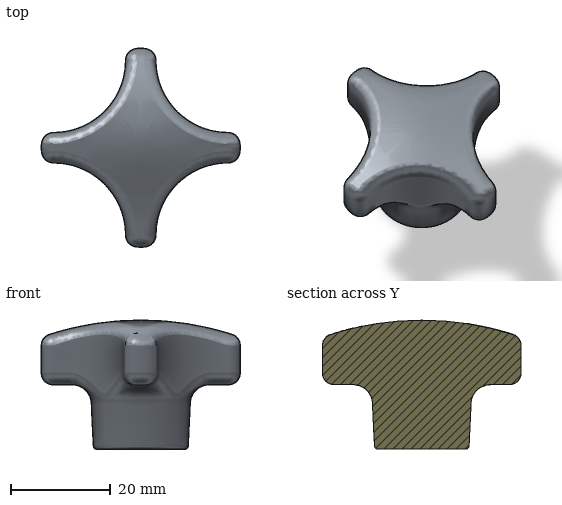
import cadquery as cq
import math

span = 39.97
height = 26.0

arm_width = 6.15
arm_underside = 12.95
corner_radius = 2.48
tip_radius = 5.35
edge_radius = 2.45
dome_radius = 59.55

hub_foot_radius = 9.5
hub_neck_radius = 9.95
flare_radius = 3.75
foot_round = 0.8

half_span = span / 2
half_arm = arm_width / 2

tip_centre_x = half_span - tip_radius
corner_y = half_arm - corner_radius
corner_x = tip_centre_x + math.sqrt((tip_radius - corner_radius) ** 2 - corner_y**2)
scoop_radius = corner_x - half_arm
blank_radius = 1.2 * half_span
neck_height = arm_underside - flare_radius


def quarter_turn(x, y, turns):
    """Rotate a point about Z by a number of quarter turns."""
    for _ in range(turns):
        x, y = -y, x
    return x, y


def star_prism():
    """Cross outline: four bowed arm tips with rounded corners, joined by concave arcs."""
    tip_angle = math.asin(corner_y / (tip_radius - corner_radius))
    tip_end_x = tip_centre_x + tip_radius * math.cos(tip_angle)
    tip_end_y = tip_radius * math.sin(tip_angle)
    middle_angle = (tip_angle + math.pi / 2) / 2
    corner_middle_x = corner_x + corner_radius * math.cos(middle_angle)
    corner_middle_y = corner_y + corner_radius * math.sin(middle_angle)
    diagonal = corner_x - scoop_radius / math.sqrt(2)

    outline = cq.Workplane("XY").moveTo(corner_x, -half_arm)
    for turns in range(4):
        outline = (
            outline
            .threePointArc(
                quarter_turn(corner_middle_x, -corner_middle_y, turns),
                quarter_turn(tip_end_x, -tip_end_y, turns),
            )
            .threePointArc(
                quarter_turn(half_span, 0, turns),
                quarter_turn(tip_end_x, tip_end_y, turns),
            )
            .threePointArc(
                quarter_turn(corner_middle_x, corner_middle_y, turns),
                quarter_turn(corner_x, half_arm, turns),
            )
            .threePointArc(
                quarter_turn(diagonal, diagonal, turns),
                quarter_turn(half_arm, corner_x, turns),
            )
        )
    return outline.close().extrude(height)


def turned_blank():
    """Domed disc on a tapered hub, with a concave flare between them."""
    def dome_height(radius):
        return height - dome_radius + math.sqrt(dome_radius**2 - radius**2)

    flare_inset = flare_radius * (1 - math.sqrt(0.5))
    return (
        cq.Workplane("XZ")
        .lineTo(hub_foot_radius, 0)
        .lineTo(hub_neck_radius, neck_height)
        .threePointArc(
            (hub_neck_radius + flare_inset, arm_underside - flare_inset),
            (hub_neck_radius + flare_radius, arm_underside),
        )
        .lineTo(blank_radius, arm_underside)
        .lineTo(blank_radius, dome_height(blank_radius))
        .threePointArc((blank_radius / 2, dome_height(blank_radius / 2)), (0, height))
        .close()
        .revolve(360, (0, 0, 0), (0, 1, 0))
    )


knob = turned_blank().intersect(star_prism())
knob = knob.faces("%CYLINDER").edges("not |Z").fillet(edge_radius)
knob = knob.faces("<Z").edges().fillet(foot_round)

result = knob